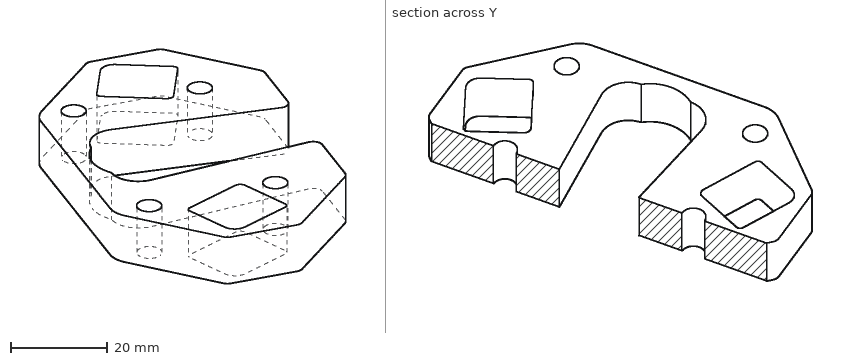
import cadquery as cq
import math

length = 81.6
depth = 51.1
thickness = 11.0
side_low_y = 18.2
side_high_y = 34.5
corner_radius = 2.0
front_corner_radius = 6.0

pick_margin = 0.8

slot_mouth_half_width = 7.75
slot_taper = 5.8
slot_floor_y = 5.1
slot_corner_radius = 6.0
relief_radius = 9.1
relief_bottom_y = 3.7

hole_diameter = 5.2
hole_spacing_x = 44.05
hole_front_y = 8.0
hole_back_y = 36.05

window_x = 29.3
window_y = 24.9
window_width = 14.0
window_height = 16.0
window_tilt = 25.0
window_radius = 1.0
window_inner_radius = 1.5
window_outer_radius = 3.0


def make_plate():
    half = length / 2
    front_x = half - side_low_y
    back_x = half - (depth - side_high_y)
    outline = [
        (-front_x, 0),
        (front_x, 0),
        (half, side_low_y),
        (half, side_high_y),
        (back_x, depth),
        (-back_x, depth),
        (-half, side_high_y),
        (-half, side_low_y),
    ]
    plate = cq.Workplane("XY").polyline(outline).close().extrude(thickness)
    plate = plate.edges("|Z").edges("<Y").fillet(front_corner_radius)
    side_and_back = cq.selectors.BoxSelector(
        (-length, side_low_y - pick_margin, -pick_margin), (length, depth + pick_margin, thickness + pick_margin)
    )
    return plate.edges("|Z").edges(side_and_back).fillet(corner_radius)


def make_slot():
    slope = math.tan(math.radians(slot_taper))
    floor_half_width = (slot_mouth_half_width + slope * (depth - slot_floor_y)) / (1 + slope**2)
    floor_corner_y = slot_floor_y + slope * floor_half_width
    outline = [
        (-slot_mouth_half_width, depth),
        (-floor_half_width, floor_corner_y),
        (0, slot_floor_y),
        (floor_half_width, floor_corner_y),
        (slot_mouth_half_width, depth),
    ]
    slot = cq.Workplane("XY").polyline(outline).close().extrude(thickness)
    floor_corners = cq.selectors.BoxSelector(
        (-length, slot_floor_y + slope * pick_margin, -pick_margin),
        (length, depth / 2, thickness + pick_margin),
    )
    slot = slot.edges("|Z").edges(floor_corners).fillet(slot_corner_radius)
    relief = (
        cq.Workplane("XY")
        .center(0, relief_bottom_y + relief_radius)
        .circle(relief_radius)
        .extrude(thickness)
    )
    return slot.union(relief)


def round_slot_mouth(plate):
    reach = slot_mouth_half_width + pick_margin
    mouth = cq.selectors.BoxSelector(
        (-reach, depth - pick_margin, -pick_margin), (reach, depth + pick_margin, thickness + pick_margin)
    )
    return plate.edges("|Z").edges(mouth).fillet(corner_radius)


def make_left_window():
    window = cq.Workplane("XY").rect(window_width, window_height).extrude(thickness)
    window = window.edges("|Z").edges("<(1,1,0)").fillet(window_outer_radius)
    window = window.edges("|Z").edges(">(1,1,0)").fillet(window_inner_radius)
    window = window.edges("|Z").edges(">(1,-1,0) or <(1,-1,0)").fillet(window_radius)
    window = window.rotate((0, 0, 0), (0, 0, 1), -window_tilt)
    return window.translate((-window_x, window_y, 0))


def make_holes():
    centers = [
        (side * hole_spacing_x / 2, y)
        for side in (-1, 1)
        for y in (hole_front_y, hole_back_y)
    ]
    return cq.Workplane("XY").pushPoints(centers).circle(hole_diameter / 2).extrude(thickness)


left_window = make_left_window()
result = round_slot_mouth(make_plate().cut(make_slot()))
result = result.cut(left_window).cut(left_window.mirror("YZ"))
result = result.cut(make_holes())